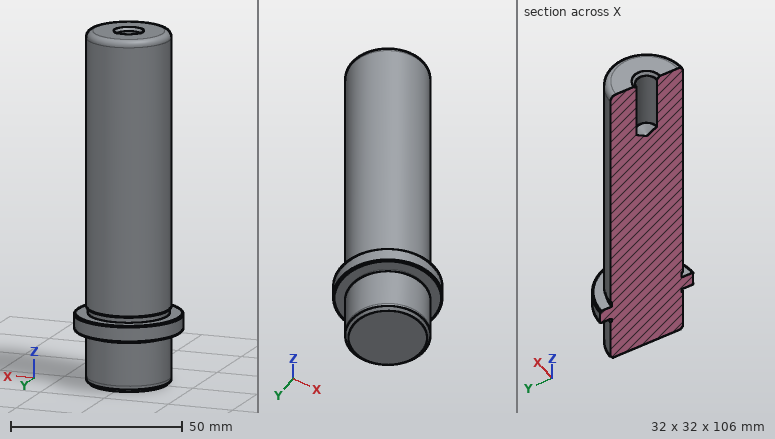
import cadquery as cq
import math

total_length = 106.0
flange_bottom = 16.0
flange_thickness = 5.0
flange_top = flange_bottom + flange_thickness

body_radius = 12.5
groove_radius = 12.0
flange_radius = 16.0

tip_fillet = 2.0
flange_chamfer = 0.4
groove_chamfer = body_radius - groove_radius

upper_groove_width = 2.0
lower_groove_width = 1.0
lower_groove_fillet = 0.2

lead_length = 2.0
lead_radius = 12.49
lead_chamfer = 1.0

hole_radius = 3.4
hole_mouth_radius = 4.4
hole_mouth_depth = hole_mouth_radius - hole_radius
hole_depth = 20.0
drill_point_angle = 118.0


def make_pillar():
    """Solid of revolution with the flange and its two relief grooves."""
    upper_groove_top = flange_top + upper_groove_width
    lower_groove_bottom = flange_bottom - lower_groove_width
    flange_face_radius = flange_radius - flange_chamfer
    tip_face_radius = body_radius - tip_fillet
    arc_offset = tip_fillet * math.sqrt(0.5)
    arc_middle = (tip_face_radius + arc_offset, total_length - tip_fillet + arc_offset)
    return (
        cq.Workplane("XZ")
        .moveTo(0, 0)
        .lineTo(lead_radius - lead_chamfer, 0)
        .lineTo(lead_radius, lead_chamfer)
        .lineTo(body_radius, lead_length)
        .lineTo(body_radius, lower_groove_bottom)
        .lineTo(groove_radius + lower_groove_fillet, lower_groove_bottom)
        .radiusArc((groove_radius, lower_groove_bottom + lower_groove_fillet), lower_groove_fillet)
        .lineTo(groove_radius, flange_bottom - lower_groove_fillet)
        .radiusArc((groove_radius + lower_groove_fillet, flange_bottom), lower_groove_fillet)
        .lineTo(flange_face_radius, flange_bottom)
        .lineTo(flange_radius, flange_bottom + flange_chamfer)
        .lineTo(flange_radius, flange_top - flange_chamfer)
        .lineTo(flange_face_radius, flange_top)
        .lineTo(groove_radius, flange_top)
        .lineTo(groove_radius, upper_groove_top - groove_chamfer)
        .lineTo(body_radius, upper_groove_top)
        .lineTo(body_radius, total_length - tip_fillet)
        .threePointArc(arc_middle, (tip_face_radius, total_length))
        .lineTo(0, total_length)
        .close()
        .revolve(360, (0, 0), (0, 1))
    )


def make_hole():
    """Blind hole with a countersunk mouth and a conical drill point."""
    hole_floor = total_length - hole_depth
    point_height = hole_radius / math.tan(math.radians(drill_point_angle / 2))
    return (
        cq.Workplane("XZ")
        .moveTo(0, total_length)
        .lineTo(hole_mouth_radius, total_length)
        .lineTo(hole_radius, total_length - hole_mouth_depth)
        .lineTo(hole_radius, hole_floor)
        .lineTo(0, hole_floor - point_height)
        .close()
        .revolve(360, (0, 0), (0, 1))
    )


result = make_pillar().cut(make_hole())